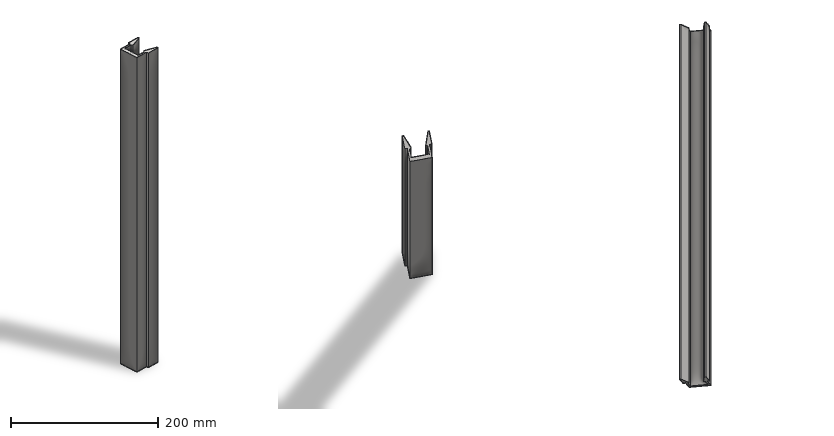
import cadquery as cq

length = 508.0
overall_width = 37.5
overall_depth = 38.0
channel_width = 31.0
wall_thickness = 3.0
base_thickness = 5.5
barb_length = 19.0
barb_width = 8.5
barb_tip_width = 2.0
ledge_drop = 0.5
barb_undercut = 2.0

outer_x = overall_width / 2
wall_outer_x = channel_width / 2
wall_inner_x = wall_outer_x - wall_thickness
barb_inner_x = outer_x - barb_width
tip_inner_x = outer_x - barb_tip_width
base_y = -overall_depth / 2
floor_y = base_y + base_thickness
tip_y = overall_depth / 2
ledge_y = tip_y - barb_length

right_half = [
    (0, base_y),
    (wall_outer_x, base_y),
    (wall_outer_x, ledge_y - ledge_drop),
    (outer_x, ledge_y),
    (outer_x, tip_y),
    (tip_inner_x, tip_y),
    (barb_inner_x, ledge_y),
    (wall_inner_x, ledge_y - barb_undercut),
    (wall_inner_x, floor_y),
    (0, floor_y),
]

half_channel = cq.Workplane("XY").polyline(right_half).close().extrude(length)
result = half_channel.union(half_channel.mirror("YZ")).clean()